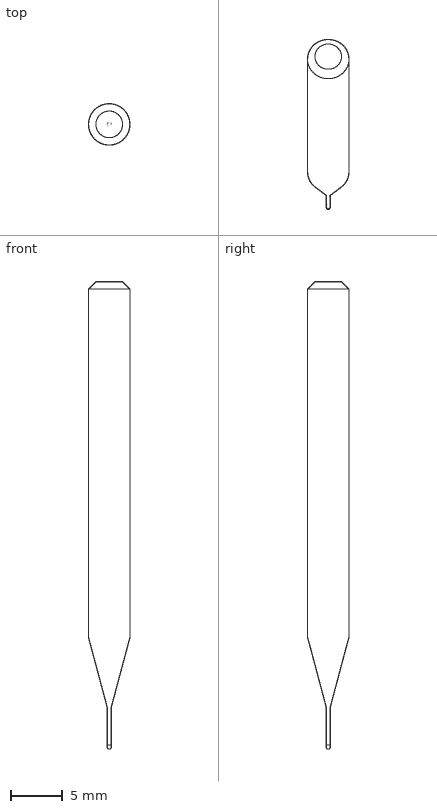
import cadquery as cq
import math

total_length = 45.0
shank_radius = 2.002
shank_chamfer = 0.7

head_radius = 0.2
head_length = 2 * head_radius

neck_radius = head_radius
neck_corner_z = 4.0
blend_radius = 1.0
cone_half_angle = math.radians(15)
cone_top_z = neck_corner_z + (shank_radius - neck_radius) / math.tan(cone_half_angle)


def revolve_about_axis(profile):
    """Turn a closed half profile once around the tool axis."""
    return profile.revolve(360, (0, 0, 0), (0, 1, 0))


def make_cutting_head():
    """Short rod with a hemispherical tip."""
    arc_offset = head_radius * math.sqrt(0.5)
    profile = (
        cq.Workplane("XZ")
        .moveTo(0, 0)
        .threePointArc((arc_offset, head_radius - arc_offset), (head_radius, head_radius))
        .lineTo(head_radius, head_length)
        .lineTo(0, head_length)
        .close()
    )
    return revolve_about_axis(profile)


def make_shank():
    """Neck, concave blend, cone and chamfered cylindrical shank."""
    tangent_length = blend_radius * math.tan(cone_half_angle / 2)
    blend_start = (neck_radius, neck_corner_z - tangent_length)
    blend_middle = (
        neck_radius + blend_radius * (1 - math.cos(cone_half_angle / 2)),
        blend_start[1] + blend_radius * math.sin(cone_half_angle / 2),
    )
    blend_end = (
        neck_radius + tangent_length * math.sin(cone_half_angle),
        neck_corner_z + tangent_length * math.cos(cone_half_angle),
    )
    profile = (
        cq.Workplane("XZ")
        .moveTo(0, head_length)
        .lineTo(neck_radius, head_length)
        .lineTo(*blend_start)
        .threePointArc(blend_middle, blend_end)
        .lineTo(shank_radius, cone_top_z)
        .lineTo(shank_radius, total_length - shank_chamfer)
        .lineTo(shank_radius - shank_chamfer, total_length)
        .lineTo(0, total_length)
        .close()
    )
    return revolve_about_axis(profile)


cutting_head = make_cutting_head()
shank = make_shank()

result = cq.Compound.makeCompound([shank.val(), cutting_head.val()])